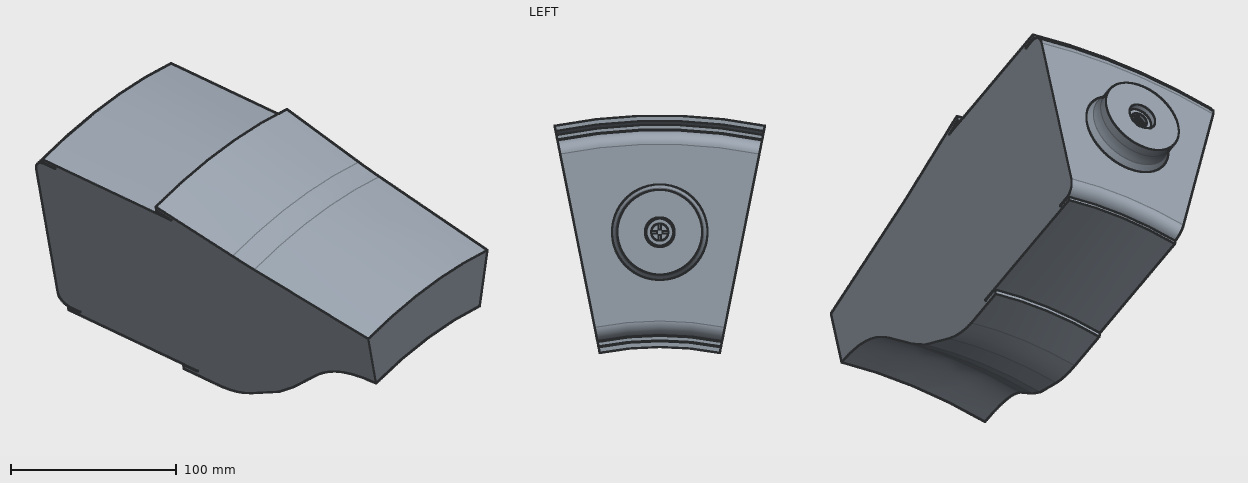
import cadquery as cq
import math

LENGTH = 272.0
SECTOR_ANGLE = 22.5

FACE_X = 17.7
PLATE_FRONT_X = 24.2
HOOD_FRONT_X = 112.5
CORE_TOP_R = 316.5
CORE_BOTTOM_R = 193.0
CORE_ROUND = 8.5

PLATE_TOP_R = 320.0
PLATE_BOTTOM_R = 189.9
PLATE_SLIT = 0.5
PLATE_SLIT_END_X = 33.7

HOOD_TOP_R = 325.5
HOOD_BEND_X = 178.2
HOOD_BEND_R = 311.7
HOOD_BEND_REACH = 8.2
HOOD_END_R = 296.0
HOOD_THICKNESS = 3.3
HOOD_BOTTOM_R = 185.8
HOOD_SLIT = 0.5
HOOD_SLIT_END_X = 123.8

BELLY_START = (141.5, HOOD_BOTTOM_R)
BELLY_RAMP_START = (166.0, 192.8)
BELLY_RAMP_END = (189.3, 206.5)
BELLY_STEEP_START = (201.8, 217.0)
BELLY_STEEP_END = (222.8, 238.3)
TAIL_BOTTOM_R = 257.5

KNOB_R = 25.5
KNOB_FLARE_R = 26.52
KNOB_BASE_R = 28.8
KNOB_FLARE_START_X = 6.3
KNOB_FLARE_END_X = 13.3
KNOB_AXIS_R = 255.0

RECESS_R = 9.0
RECESS_FLOOR_R = 8.2
RECESS_DEPTH = 3.5
BORE_R = 5.2
BORE_DEPTH = 3.0
RIB_HEIGHT = 1.5
RIB_WIDTH = 1.4
RIB_INNER_R = 1.5


def sweep_sector(profile):
    """Turn an (x, radius) profile into a sector centred on the XZ plane."""
    swept = profile.close().revolve(SECTOR_ANGLE, (0, 0, 0), (1, 0, 0))
    return swept.rotate((0, 0, 0), (1, 0, 0), -SECTOR_ANGLE / 2)


def outline():
    return cq.Workplane("XZ")


def make_core():
    diagonal = CORE_ROUND * (1 - math.sqrt(0.5))
    profile = (
        outline()
        .moveTo(FACE_X, CORE_BOTTOM_R + CORE_ROUND)
        .lineTo(FACE_X, CORE_TOP_R - CORE_ROUND)
        .threePointArc(
            (FACE_X + diagonal, CORE_TOP_R - diagonal),
            (FACE_X + CORE_ROUND, CORE_TOP_R),
        )
        .lineTo(HOOD_SLIT_END_X, CORE_TOP_R)
        .lineTo(HOOD_SLIT_END_X, CORE_BOTTOM_R)
        .lineTo(FACE_X + CORE_ROUND, CORE_BOTTOM_R)
        .threePointArc(
            (FACE_X + diagonal, CORE_BOTTOM_R + diagonal),
            (FACE_X, CORE_BOTTOM_R + CORE_ROUND),
        )
    )
    return sweep_sector(profile)


def make_plate(outer_r, core_r):
    """Plate against the core, with a thin slit under its front edge."""
    slit_r = core_r + math.copysign(PLATE_SLIT, outer_r - core_r)
    profile = (
        outline()
        .moveTo(PLATE_FRONT_X, outer_r)
        .lineTo(HOOD_SLIT_END_X, outer_r)
        .lineTo(HOOD_SLIT_END_X, core_r)
        .lineTo(PLATE_SLIT_END_X, core_r)
        .lineTo(PLATE_SLIT_END_X, slit_r)
        .lineTo(PLATE_FRONT_X, slit_r)
    )
    return sweep_sector(profile)


def make_hood():
    lead_slope = (HOOD_BEND_R - HOOD_TOP_R) / (HOOD_BEND_X - HOOD_FRONT_X)
    tail_slope = (HOOD_END_R - HOOD_BEND_R) / (LENGTH - HOOD_BEND_X)
    bend_start = (HOOD_BEND_X - HOOD_BEND_REACH, HOOD_BEND_R - HOOD_BEND_REACH * lead_slope)
    bend_end = (HOOD_BEND_X + HOOD_BEND_REACH, HOOD_BEND_R + HOOD_BEND_REACH * tail_slope)
    profile = (
        outline()
        .moveTo(HOOD_FRONT_X, HOOD_TOP_R)
        .lineTo(*bend_start)
        .tangentArcPoint(bend_end, relative=False)
        .lineTo(LENGTH, HOOD_END_R)
        .lineTo(LENGTH, TAIL_BOTTOM_R)
        .spline(
            [BELLY_STEEP_END],
            tangents=[(-1, 0), (-1, -1)],
            includeCurrent=True,
        )
        .lineTo(*BELLY_STEEP_START)
        .lineTo(*BELLY_RAMP_END)
        .lineTo(*BELLY_RAMP_START)
        .tangentArcPoint(BELLY_START, relative=False)
        .lineTo(HOOD_FRONT_X, HOOD_BOTTOM_R)
        .lineTo(HOOD_FRONT_X, PLATE_BOTTOM_R - HOOD_SLIT)
        .lineTo(HOOD_SLIT_END_X, PLATE_BOTTOM_R - HOOD_SLIT)
        .lineTo(HOOD_SLIT_END_X, PLATE_TOP_R)
        .lineTo(HOOD_FRONT_X, HOOD_TOP_R - HOOD_THICKNESS)
    )
    return sweep_sector(profile)


def make_knob():
    """Flared round knob with a ribbed bore in its recess."""
    knob = (
        outline()
        .lineTo(0, KNOB_R)
        .lineTo(KNOB_FLARE_START_X, KNOB_R)
        .tangentArcPoint((KNOB_FLARE_END_X, KNOB_FLARE_R), relative=False)
        .lineTo(FACE_X, KNOB_BASE_R)
        .lineTo(FACE_X, 0)
        .close()
        .revolve(360, (0, 0, 0), (1, 0, 0))
    )
    tip = cq.Workplane("YZ")
    taper = math.degrees(math.atan((RECESS_R - RECESS_FLOOR_R) / RECESS_DEPTH))
    recess = tip.circle(RECESS_R).extrude(RECESS_DEPTH, taper=taper)
    bore = tip.workplane(offset=RECESS_DEPTH).circle(BORE_R).extrude(BORE_DEPTH)
    rib_length = BORE_R - RIB_INNER_R
    rib = (
        tip.workplane(offset=RECESS_DEPTH + BORE_DEPTH - RIB_HEIGHT)
        .center(RIB_INNER_R + rib_length / 2, 0)
        .rect(rib_length, RIB_WIDTH)
        .extrude(RIB_HEIGHT)
    )
    for quarter in range(4):
        bore = bore.cut(rib.rotate((0, 0, 0), (1, 0, 0), 90 * quarter))
    knob = knob.cut(recess).cut(bore)
    return knob.translate((0, 0, KNOB_AXIS_R))


result = (
    make_core()
    .union(make_plate(PLATE_TOP_R, CORE_TOP_R))
    .union(make_plate(PLATE_BOTTOM_R, CORE_BOTTOM_R))
    .union(make_hood())
    .union(make_knob())
)